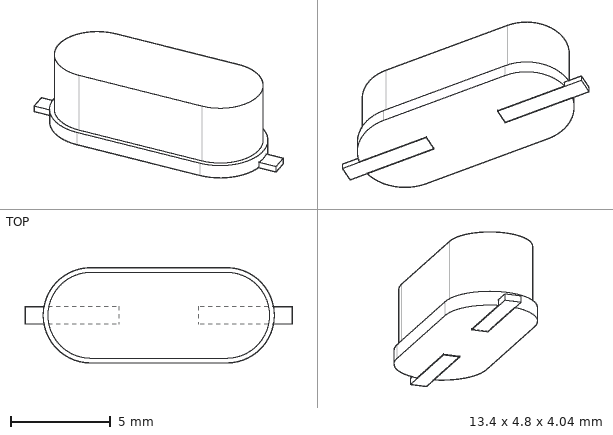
import cadquery as cq

overall_length = 13.41
overall_height = 4.04

base_width = 4.8
straight_length = 6.81
base_bottom = 0.04
base_top = 0.78

ledge_width = 0.24
can_width = base_width - 2 * ledge_width

lead_length = 4.71
lead_width = 0.87
lead_thickness = 0.34


def make_obround(width, bottom, top):
    """Upright obround prism whose round ends are centred on the straight sides' ends."""
    return (
        cq.Workplane("XY")
        .workplane(offset=bottom)
        .slot2D(straight_length + width, width)
        .extrude(top - bottom)
    )


def make_lead(side):
    """Flat lead reaching from the outer end inwards; side is -1 or +1 along X."""
    center_x = side * (overall_length - lead_length) / 2
    return (
        cq.Workplane("XY")
        .center(center_x, 0)
        .rect(lead_length, lead_width)
        .extrude(lead_thickness)
    )


def make_base(leads):
    """Base flange with a recess that matches each lead."""
    base = make_obround(base_width, base_bottom, base_top)
    for lead in leads:
        base = base.cut(lead)
    return base


def make_can():
    """Solid can standing on the base."""
    return make_obround(can_width, base_top, overall_height)


leads = [make_lead(side) for side in (-1, 1)]
base = make_base(leads)
can = make_can()

result = cq.Compound.makeCompound([base.val(), can.val(), *[lead.val() for lead in leads]])